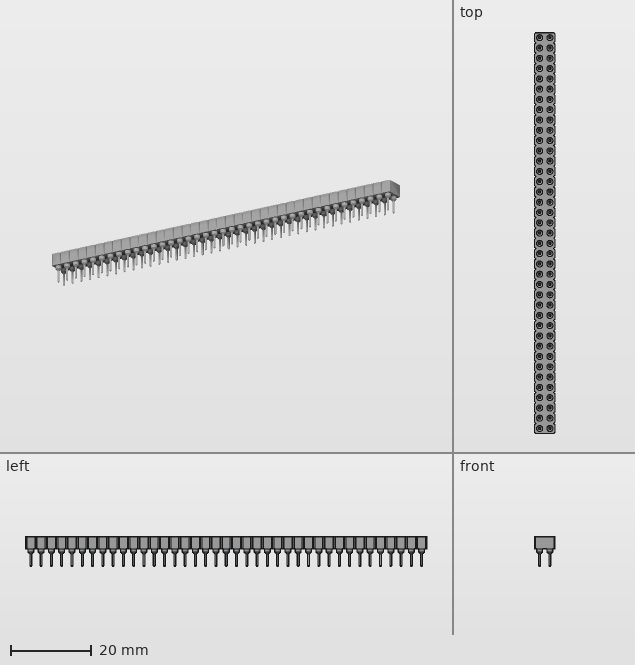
import cadquery as cq

length = 99.1
rows = 39
columns = 2
pitch = length / rows
width = columns * pitch
body_height = 3.1
total_height = 7.4
corner_cut = 0.31

mouth_diameter = 1.5
bore_diameter = 0.51
funnel_depth = 1.0
bore_depth = 2.5

sleeve_diameter = 1.5
sleeve_length = 0.74
shoulder_length = 0.5
pin_diameter = 0.51
tip_diameter = 0.12
tip_length = 0.25

sleeve_bottom = -sleeve_length
shoulder_bottom = sleeve_bottom - shoulder_length
pin_bottom = body_height - total_height


def contact_centres():
    """Centres of all contacts, on a square grid about the origin."""
    return [
        ((column - (columns - 1) / 2) * pitch, (row - (rows - 1) / 2) * pitch)
        for column in range(columns)
        for row in range(rows)
    ]


def make_body():
    """Housing bar with a V notch on both long sides at every row boundary and at the corners."""
    body = cq.Workplane("XY").box(width, length, body_height, centered=(True, True, False))
    notches = cq.Workplane("XY").pushPoints(
        [(side * width / 2, row * pitch - length / 2) for side in (-1, 1) for row in range(rows + 1)]
    )
    notches = notches.polygon(4, 2 * corner_cut).extrude(body_height)
    return body.cut(notches)


def make_socket():
    """Funnel-shaped mouth leading into a blind round bore, as a cutting solid."""
    mouth_radius = mouth_diameter / 2
    bore_radius = bore_diameter / 2
    bore_bottom = body_height - bore_depth
    profile = [
        (0, body_height),
        (mouth_radius, body_height),
        (bore_radius, body_height - funnel_depth),
        (bore_radius, bore_bottom),
        (0, bore_bottom),
    ]
    return cq.Workplane("XZ").polyline(profile).close().revolve(360, (0, 0), (0, 1))


def make_contact():
    """Sleeve, tapered shoulder and thin pin with a bevelled tip."""
    sleeve_radius = sleeve_diameter / 2
    pin_radius = pin_diameter / 2
    profile = [
        (0, 0),
        (sleeve_radius, 0),
        (sleeve_radius, sleeve_bottom),
        (pin_radius, shoulder_bottom),
        (pin_radius, pin_bottom + tip_length),
        (tip_diameter / 2, pin_bottom),
        (0, pin_bottom),
    ]
    return cq.Workplane("XZ").polyline(profile).close().revolve(360, (0, 0), (0, 1))


def at_each_contact(shape):
    """Copies of one shape at every contact centre."""
    solid = shape.val()
    copies = [solid.translate(cq.Vector(x, y, 0)) for x, y in contact_centres()]
    return cq.Workplane("XY").newObject([cq.Compound.makeCompound(copies)])


result = make_body().union(at_each_contact(make_contact())).cut(at_each_contact(make_socket()))